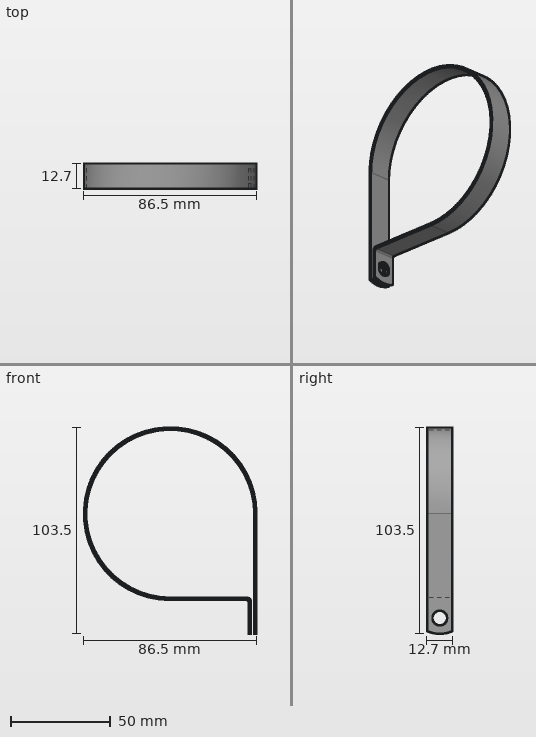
import cadquery as cq
import math

total_height = 103.5
outer_diameter = 86.5
strap_width = 12.7
thickness = 1.2

tab_gap = 1.6
bend_inner_radius = 0.9
end_radius = 15.0
hole_diameter = 7.2
hole_edge_distance = 8.0

outer_radius = outer_diameter / 2
inner_radius = outer_radius - thickness
tip_z = outer_radius - total_height
bend_outer_radius = bend_inner_radius + thickness
short_tab_outer_x = inner_radius - tab_gap
short_tab_inner_x = short_tab_outer_x - thickness
bend_x = short_tab_outer_x - bend_outer_radius
bend_z = -inner_radius - bend_outer_radius
diagonal = math.sqrt(0.5)


def make_strap():
    """Bent strip: long straight leg, three-quarter loop, flat run and short tab."""
    return (
        cq.Workplane("XZ")
        .moveTo(outer_radius, tip_z)
        .lineTo(outer_radius, 0)
        .threePointArc((-outer_radius * diagonal, outer_radius * diagonal), (0, -outer_radius))
        .lineTo(bend_x, -outer_radius)
        .threePointArc(
            (bend_x + bend_inner_radius * diagonal, bend_z + bend_inner_radius * diagonal),
            (short_tab_inner_x, bend_z),
        )
        .lineTo(short_tab_inner_x, tip_z)
        .lineTo(short_tab_outer_x, tip_z)
        .lineTo(short_tab_outer_x, bend_z)
        .threePointArc(
            (bend_x + bend_outer_radius * diagonal, bend_z + bend_outer_radius * diagonal),
            (bend_x, -inner_radius),
        )
        .lineTo(0, -inner_radius)
        .threePointArc((-inner_radius * diagonal, inner_radius * diagonal), (inner_radius, 0))
        .lineTo(inner_radius, tip_z)
        .close()
        .extrude(strap_width / 2, both=True)
    )


def make_rounded_envelope():
    """Block around the strap whose lower end is the shallow arc of the tab tips."""
    half_width = strap_width / 2
    corner_z = tip_z + end_radius - math.sqrt(end_radius**2 - half_width**2)
    return (
        cq.Workplane("YZ")
        .moveTo(-half_width, outer_radius)
        .lineTo(-half_width, corner_z)
        .threePointArc((0, tip_z), (half_width, corner_z))
        .lineTo(half_width, outer_radius)
        .close()
        .extrude(outer_radius, both=True)
    )


def make_bolt_hole():
    """Cylinder along X through both tabs."""
    return (
        cq.Workplane("YZ")
        .center(0, tip_z + hole_edge_distance)
        .circle(hole_diameter / 2)
        .extrude(outer_radius)
    )


result = make_strap().intersect(make_rounded_envelope()).cut(make_bolt_hole())